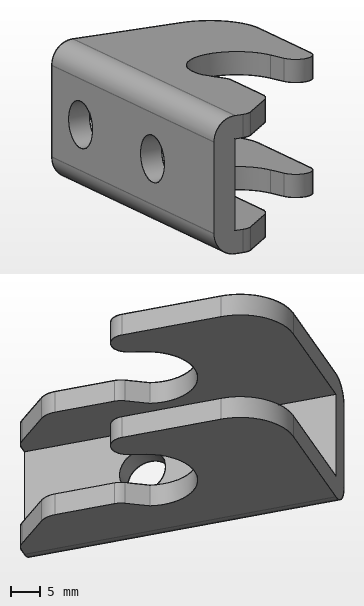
import cadquery as cq
import math

length = 56.3
depth = 35.0
height = 24.4
wall = 4.1
bend_radius = 4.1

hole_diameter = 8.3
first_hole_x = 10.0
hole_pitch = 24.95

back_corner_radius = 9.55
tip_radius = 2.9
tip_x = 27.55
tip_y = depth - tip_radius
throat_radius = 8.55
throat_x = 28.25
throat_y = 20.2
ramp_start_angle = -73.0
lip_y = 14.75
lip_start_x = 35.25
lip_end_x = 48.65
lip_start_radius = 3.2
lip_end_radius = 4.1
nose_y = 6.75
nose_radius = 2.8


def on_circle(center_x, center_y, radius, angle):
    """Point on a circle at an angle in radians from +X."""
    return (center_x + radius * math.cos(angle), center_y + radius * math.sin(angle))


def channel():
    """U channel open towards +Y, with its web against Y = 0."""
    outer = cq.Workplane("XY").box(length, depth, height, centered=False)
    outer = outer.edges("|X and <Y").fillet(bend_radius)
    inside = cq.Workplane("XY").box(length, depth, height - 2 * wall, centered=False)
    return outer.cut(inside.translate((0, wall, wall)))


def hook_prism():
    """Full-height prism with the hook outline."""
    center_distance = math.hypot(tip_x - throat_x, tip_y - throat_y)
    center_angle = math.atan2(tip_y - throat_y, tip_x - throat_x)
    tangent_angle = center_angle + math.acos((tip_radius + throat_radius) / center_distance)
    throat_end = on_circle(throat_x, throat_y, throat_radius, tangent_angle)
    tip_start = on_circle(tip_x, tip_y, tip_radius, tangent_angle + math.pi)
    ramp_start = on_circle(throat_x, throat_y, throat_radius, math.radians(ramp_start_angle))

    prism = (
        cq.Workplane("XY")
        .lineTo(length, 0)
        .lineTo(length, nose_y)
        .lineTo(lip_end_x, lip_y)
        .lineTo(lip_start_x, lip_y)
        .lineTo(*ramp_start)
        .threePointArc((throat_x - throat_radius, throat_y), throat_end)
        .lineTo(*tip_start)
        .threePointArc((tip_x + tip_radius, tip_y), (tip_x, depth))
        .lineTo(0, depth)
        .close()
        .extrude(height)
    )
    rounded_corners = (
        (0, depth, back_corner_radius),
        (lip_start_x, lip_y, lip_start_radius),
        (lip_end_x, lip_y, lip_end_radius),
        (length, nose_y, nose_radius),
    )
    for x, y, radius in rounded_corners:
        corner = cq.selectors.NearestToPointSelector((x, y, height / 2))
        prism = prism.edges(corner).fillet(radius)
    return prism


def mounting_holes():
    """Two cylinders along Y that pass through the web."""
    centers = [(first_hole_x + i * hole_pitch, height / 2) for i in range(2)]
    return (
        cq.Workplane("XZ")
        .pushPoints(centers)
        .circle(hole_diameter / 2)
        .extrude(-wall)
    )


result = channel().intersect(hook_prism()).cut(mounting_holes())